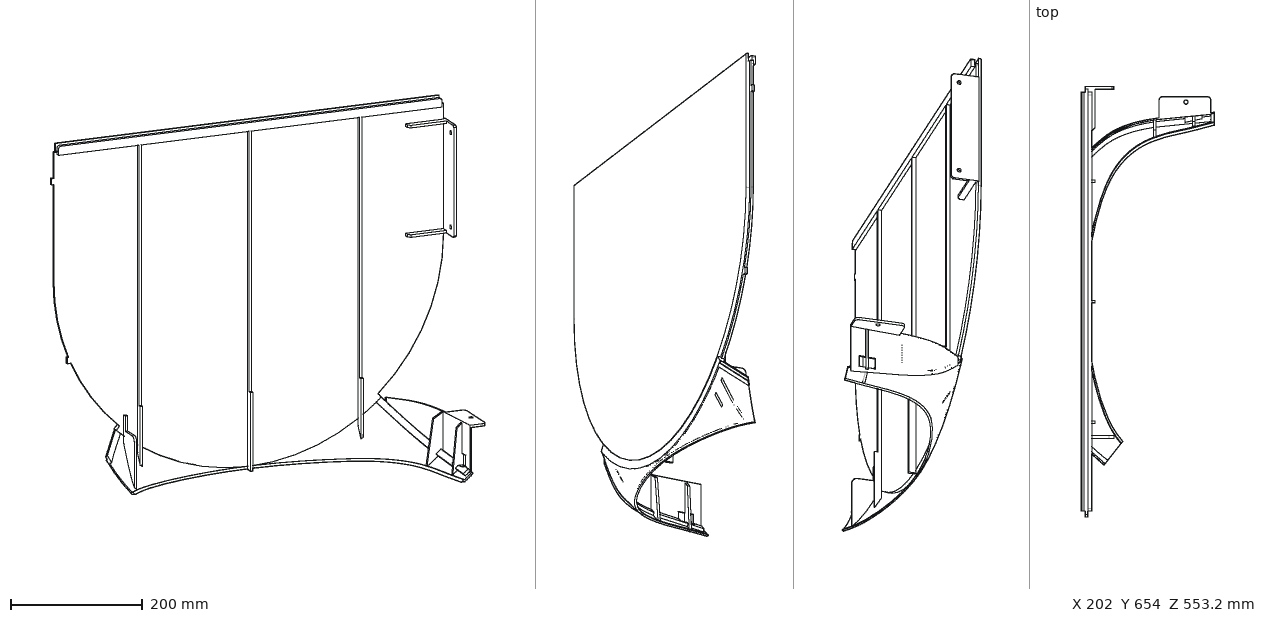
import cadquery as cq
import math

HEIGHT = 553.2
ARC_CENTRE_Z = 336.0
FACE_RADIUS = 318.0
TONGUE_RADIUS = 323.0
SHEET_BACK_X = 4.0
TONGUE_FRONT_X = 6.0
TONGUE_BACK_X = 10.0
PANEL_BACK_X = 16.0
TOP_SLOT_DEPTH = 12.0
TOP_CHAMFER = 1.5
RAIL_HEIGHT = 14.0
RAIL_CORNER_RADIUS = 4.0

TAB_HEIGHT = 10.0
UPPER_TAB_Y, UPPER_TAB_Z = -327.0, 490.0
LOWER_TAB_Y, LOWER_TAB_Z = -301.0, 203.5

BRACKET_Y = 327.0
BRACKET_THICKNESS = 4.5
BRACKET_BACK_X = 49.5
BRACKET_BOTTOM_Z, BRACKET_TOP_Z = 339.0, 516.5
BRACKET_CORNER = 3.0
BRACKET_HOLE_X = 37.5
BRACKET_HOLE_DIAMETER = 6.0
BRACKET_HOLE_INSET = 14.0
BRACKET_RIB_INNER_Y = 260.0
BRACKET_RIB_THICKNESS = 4.0
BRACKET_RIB_CHAMFER = 4.0

SCOOP_FRONT_X = 1.0
SCOOP_LENGTH = 201.99
SCOOP_START_RADIUS = 331.0
SCOOP_MOUTH_RADIUS = 433.5
SCOOP_THROUGH = [(25.0, 364.5), (46.0, 388.5), (80.0, 409.5), (120.0, 421.0)]
SCOOP_WALL = 3.0
SCOOP_EMBED = 0.5
SCOOP_HALF_ANGLE = 41.6
RIM_DEPTH = 5.0
RIM_WIDTH = 7.0
RIM_OVERHANG = 4.0
FLOOR_THICKNESS = 3.5
FLOOR_LIP = 0.8
SHORT_END = [(34.0, -249.0), (56.5, -220.5)]

WALL_TOP_Z = 87.0
WALL_THICKNESS = 2.5
WALL_END_X = 197.0
WINDOW_X = (157.5, 183.5)
WINDOW_Z = (18.0, 36.0)
WALL_RIB_XS = (111.5, 171.0)
RIB_THICKNESS = 4.0
WALL_RIB_BEVEL = 10.0
WALL_RIB_BEVEL_SHARE = 0.6

PLATE_X = (118.0, WALL_END_X)
PLATE_OUTER_Y = 311.5
PLATE_THICKNESS = 4.0
PLATE_CORNER_RADIUS = 6.0
PLATE_HOLE = (159.0, 303.0)
PLATE_HOLE_DIAMETER = 6.0

BACK_RIB_YS = (-183.0, 0.0, 183.0)
BACK_RIB_STEP = 5.0
BACK_RIB_STEP_Z = 125.0
GUSSET_Y = -205.5
GUSSET_BACK_X = 50.0
GUSSET_CORNER_RADIUS = 8.0
GUSSET_ROOT_TOP_Z = 111.0


def box(x, y, z):
    """Box between the given (low, high) limits."""
    size = (x[1] - x[0], y[1] - y[0], z[1] - z[0])
    return cq.Workplane("XY").box(*size, centered=False).translate((x[0], y[0], z[0]))


def d_layer(radius, top_z, front_x, back_x):
    """D-shaped slab: half disc below the arc centre and a rectangle up to top_z."""
    return (
        cq.Workplane("YZ", origin=(front_x, 0, 0))
        .moveTo(-radius, top_z)
        .lineTo(-radius, ARC_CENTRE_Z)
        .threePointArc((0, ARC_CENTRE_Z - radius), (radius, ARC_CENTRE_Z))
        .lineTo(radius, top_z)
        .close()
        .extrude(back_x - front_x)
    )


def make_top_rail():
    rail_top_z = HEIGHT - TOP_CHAMFER
    rail = box(
        (TONGUE_BACK_X, PANEL_BACK_X),
        (-FACE_RADIUS, FACE_RADIUS),
        (rail_top_z - RAIL_HEIGHT, rail_top_z),
    )
    return rail.faces(">Z").edges("|X").fillet(RAIL_CORNER_RADIUS)


def make_panel():
    slot_floor_z = HEIGHT - TOP_SLOT_DEPTH
    sheet = d_layer(FACE_RADIUS, HEIGHT, 0, SHEET_BACK_X)
    sheet = sheet.faces("<X").edges(">Z").chamfer(TOP_CHAMFER)
    spacer = d_layer(FACE_RADIUS, slot_floor_z, SHEET_BACK_X, TONGUE_FRONT_X)
    tongue = d_layer(TONGUE_RADIUS, slot_floor_z, TONGUE_FRONT_X, TONGUE_BACK_X)
    tongue = tongue.union(make_top_rail())
    return sheet.union(spacer).union(tongue)


def make_tab(outer_y, bottom_z):
    inner_y = outer_y + 2 * TAB_HEIGHT
    return box((TONGUE_FRONT_X, TONGUE_BACK_X), (outer_y, inner_y), (bottom_z, bottom_z + TAB_HEIGHT))


def make_bracket():
    inner_y = BRACKET_Y - BRACKET_THICKNESS
    plate = box((TONGUE_FRONT_X, BRACKET_BACK_X), (inner_y, BRACKET_Y), (BRACKET_BOTTOM_Z, BRACKET_TOP_Z))
    plate = plate.faces(">X").edges("|Y").chamfer(BRACKET_CORNER)
    for z in (BRACKET_BOTTOM_Z + BRACKET_HOLE_INSET, BRACKET_TOP_Z - BRACKET_HOLE_INSET):
        drill = cq.Workplane("XZ", origin=(BRACKET_HOLE_X, BRACKET_Y, z))
        plate = plate.cut(drill.circle(BRACKET_HOLE_DIAMETER / 2).extrude(BRACKET_THICKNESS))
    for z in (BRACKET_BOTTOM_Z, BRACKET_TOP_Z - BRACKET_RIB_THICKNESS):
        rib = box(
            (TONGUE_BACK_X, PANEL_BACK_X + BACK_RIB_STEP),
            (BRACKET_RIB_INNER_Y, BRACKET_Y),
            (z, z + BRACKET_RIB_THICKNESS),
        )
        plate = plate.union(rib.edges(">X and <Y").chamfer(BRACKET_RIB_CHAMFER))
    return plate


def bell(shrink):
    """Solid of revolution about the panel axis under the bell profile, made smaller by shrink."""
    points = [(x, radius - shrink) for x, radius in SCOOP_THROUGH]
    points.append((SCOOP_LENGTH, SCOOP_MOUTH_RADIUS - shrink))
    return (
        cq.Workplane("XY")
        .moveTo(SCOOP_FRONT_X, 0)
        .lineTo(SCOOP_FRONT_X, SCOOP_START_RADIUS - shrink)
        .spline(points, includeCurrent=True)
        .lineTo(SCOOP_LENGTH, 0)
        .close()
        .revolve(360, (0, 0, 0), (1, 0, 0))
        .translate((0, 0, ARC_CENTRE_Z))
    )


def make_sector(inset):
    """Wedge below the panel axis, its two sides set in from the radial cuts by inset."""
    half_angle = math.radians(SCOOP_HALF_ANGLE)
    apex_z = ARC_CENTRE_Z - inset / math.sin(half_angle)
    half_width = apex_z * math.tan(half_angle)
    return (
        cq.Workplane("YZ")
        .moveTo(0, apex_z)
        .lineTo(-half_width, 0)
        .lineTo(half_width, 0)
        .close()
        .extrude(SCOOP_LENGTH)
    )


def make_short_end_cutter():
    """Prism removing the -Y half of the scoop beyond the slanting end line."""
    (x1, y1), (x2, y2) = SHORT_END
    slope = (y2 - y1) / (x2 - x1)
    return (
        cq.Workplane("XY")
        .moveTo(0, y1 - slope * x1)
        .lineTo(x2 - y2 / slope, 0)
        .lineTo(SCOOP_LENGTH, 0)
        .lineTo(SCOOP_LENGTH, -HEIGHT)
        .lineTo(0, -HEIGHT)
        .close()
        .extrude(HEIGHT)
    )


def make_rim():
    """Thickened bands inside the two radial edges, reaching a little past the scoop wall."""
    bands = make_sector(0).cut(make_sector(RIM_OVERHANG + RIM_WIDTH))
    length = box((0, WALL_END_X), (-HEIGHT, HEIGHT), (0, HEIGHT))
    ring = bell(SCOOP_WALL - SCOOP_EMBED).cut(bell(SCOOP_WALL + RIM_DEPTH))
    return ring.intersect(bands).intersect(length)


def make_scoop():
    mouth_edge = box((WALL_END_X, SCOOP_LENGTH), (0, HEIGHT), (0, HEIGHT)).intersect(make_sector(0))
    sector = make_sector(RIM_OVERHANG).union(mouth_edge)
    above_floor = box((0, SCOOP_LENGTH), (-HEIGHT, HEIGHT), (FLOOR_THICKNESS, HEIGHT))
    hollow = bell(SCOOP_WALL).intersect(above_floor)
    opening = bell(SCOOP_WALL + FLOOR_LIP)
    scoop = bell(0).intersect(sector).cut(hollow).cut(opening)
    flange = (
        cq.Workplane("YZ", origin=(SCOOP_FRONT_X, 0, ARC_CENTRE_Z))
        .circle(SCOOP_START_RADIUS)
        .circle(FACE_RADIUS - SHEET_BACK_X)
        .extrude(TONGUE_BACK_X - SCOOP_FRONT_X)
        .intersect(make_sector(0))
    )
    return scoop.union(make_rim()).union(flange).cut(make_short_end_cutter())


def wall_footprint(inset):
    """Prism over the area on the panel side of the wall, its curved side set in by inset."""
    sine = math.sin(math.radians(SCOOP_HALF_ANGLE))
    curve = [(x, radius * sine - inset) for x, radius in SCOOP_THROUGH]
    curve.append((SCOOP_LENGTH, SCOOP_MOUTH_RADIUS * sine - inset))
    return (
        cq.Workplane("XY")
        .moveTo(SCOOP_FRONT_X, 0)
        .lineTo(SCOOP_FRONT_X, SCOOP_START_RADIUS * sine - inset)
        .spline(curve, includeCurrent=True)
        .lineTo(SCOOP_LENGTH, 0)
        .close()
        .extrude(WALL_TOP_Z)
    )


def make_wall():
    """Upright wall whose plan follows the +Y edge of the scoop, standing on that edge."""
    limits = box((TONGUE_BACK_X, WALL_END_X), (0, HEIGHT), (0, WALL_TOP_Z))
    wall = wall_footprint(0).cut(wall_footprint(WALL_THICKNESS)).intersect(limits)
    return wall.cut(make_sector(RIM_OVERHANG))


def bell_radius(x):
    """Outer radius of the bell at x, by straight steps between the profile points."""
    stations = [(0, SCOOP_START_RADIUS)] + SCOOP_THROUGH + [(SCOOP_LENGTH, SCOOP_MOUTH_RADIUS)]
    for (x1, r1), (x2, r2) in zip(stations, stations[1:]):
        if x1 <= x <= x2:
            return r1 + (r2 - r1) * (x - x1) / (x2 - x1)


def make_wall_rib(x):
    radius = bell_radius(x)
    wall_y = radius * math.sin(math.radians(SCOOP_HALF_ANGLE))
    foot_y = math.sqrt(radius**2 - ARC_CENTRE_Z**2)
    knee_y = wall_y + (foot_y - wall_y) * WALL_RIB_BEVEL_SHARE
    return (
        cq.Workplane("YZ", origin=(x - RIB_THICKNESS / 2, 0, 0))
        .moveTo(foot_y, 0)
        .lineTo(knee_y, WALL_TOP_Z - WALL_RIB_BEVEL)
        .lineTo(wall_y, WALL_TOP_Z)
        .lineTo(wall_y, ARC_CENTRE_Z - radius * math.cos(math.radians(SCOOP_HALF_ANGLE)))
        .close()
        .extrude(RIB_THICKNESS)
    )


def make_plate():
    bottom_z = WALL_TOP_Z - PLATE_THICKNESS
    plate = box(PLATE_X, (0, PLATE_OUTER_Y), (bottom_z, WALL_TOP_Z))
    plate = plate.edges("|Z and >Y").fillet(PLATE_CORNER_RADIUS)
    plate = plate.cut(wall_footprint(0))
    hole = cq.Workplane("XY").center(*PLATE_HOLE).circle(PLATE_HOLE_DIAMETER / 2).extrude(WALL_TOP_Z)
    return plate.cut(hole)


def make_back_rib(y):
    """Upright rib from the scoop to the top rail, deeper in its lower part."""
    across = (y - RIB_THICKNESS / 2, y + RIB_THICKNESS / 2)
    upper = box((TONGUE_BACK_X, PANEL_BACK_X), across, (BACK_RIB_STEP_Z, HEIGHT - RAIL_HEIGHT))
    lower = box((TONGUE_BACK_X, PANEL_BACK_X + BACK_RIB_STEP), across, (0, BACK_RIB_STEP_Z))
    return upper.union(lower)


def make_gusset():
    across = (GUSSET_Y - RIB_THICKNESS / 2, GUSSET_Y + RIB_THICKNESS / 2)
    plate = box((TONGUE_BACK_X, GUSSET_BACK_X), across, (0, WALL_TOP_Z))
    plate = plate.edges("|Y and >X and >Z").fillet(GUSSET_CORNER_RADIUS)
    root = box((TONGUE_BACK_X, PANEL_BACK_X), across, (0, GUSSET_ROOT_TOP_Z))
    return plate.union(root)


def make_ribs():
    """Back ribs and gusset, ending below inside the scoop wall and above under the top rail."""
    ribs = make_gusset()
    for y in BACK_RIB_YS:
        ribs = ribs.union(make_back_rib(y))
    above_axis = box((0, SCOOP_LENGTH), (-HEIGHT, HEIGHT), (ARC_CENTRE_Z, HEIGHT))
    return ribs.intersect(bell(SCOOP_WALL - SCOOP_EMBED).union(above_axis))


scoop = make_scoop().union(make_wall()).union(make_plate())
scoop = scoop.cut(box(WINDOW_X, (0, HEIGHT), WINDOW_Z))
for rib_x in WALL_RIB_XS:
    scoop = scoop.union(make_wall_rib(rib_x))

panel = make_panel().union(make_bracket())
panel = panel.union(make_tab(UPPER_TAB_Y, UPPER_TAB_Z)).union(make_tab(LOWER_TAB_Y, LOWER_TAB_Z))

result = panel.union(scoop).union(make_ribs())